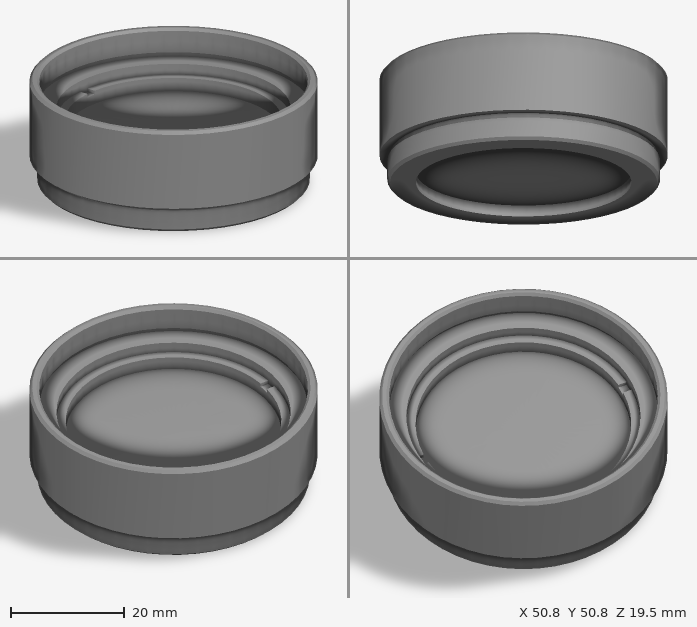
import cadquery as cq

HOUSING_RADIUS = 25.4
HEIGHT = 19.5
EDGE_CHAMFER = 0.5
SPIGOT_RADIUS = 24.05
NECK_RADIUS = 23.6
FLANGE_BASE_Z = 5.0
NECK_HEIGHT = 0.95

MOUTH_RADIUS = 23.65
MOUTH_CHAMFER = 0.45
MOUTH_DEPTH = 5.5
RELIEF_RADIUS = 24.15
RELIEF_HEIGHT = 0.95
BORE_RADIUS = 20.6
APERTURE_RADIUS = 19.0
SEAT_THICKNESS = 2.05

RING_TOP_DEPTH = 7.5
RING_HEIGHT = 2.5
SLOT_WIDTH = 2.0
SLOT_DEPTH = 0.7

LENS_CROWN = 0.55

shoulder_z = HEIGHT - MOUTH_DEPTH
ring_top_z = HEIGHT - RING_TOP_DEPTH
lens_edge_z = ring_top_z - RING_HEIGHT


def make_housing():
    """Turned barrel with a grooved spigot below, a wide mouth above and a lens seat."""
    profile = [
        (APERTURE_RADIUS, 0),
        (SPIGOT_RADIUS - EDGE_CHAMFER, 0),
        (SPIGOT_RADIUS, EDGE_CHAMFER),
        (SPIGOT_RADIUS, FLANGE_BASE_Z - NECK_HEIGHT),
        (NECK_RADIUS, FLANGE_BASE_Z - NECK_HEIGHT),
        (NECK_RADIUS, FLANGE_BASE_Z),
        (HOUSING_RADIUS, FLANGE_BASE_Z),
        (HOUSING_RADIUS, HEIGHT - EDGE_CHAMFER),
        (HOUSING_RADIUS - EDGE_CHAMFER, HEIGHT),
        (MOUTH_RADIUS + MOUTH_CHAMFER, HEIGHT),
        (MOUTH_RADIUS, HEIGHT - MOUTH_CHAMFER),
        (MOUTH_RADIUS, shoulder_z + RELIEF_HEIGHT),
        (RELIEF_RADIUS, shoulder_z + RELIEF_HEIGHT),
        (RELIEF_RADIUS, shoulder_z),
        (BORE_RADIUS, shoulder_z),
        (BORE_RADIUS, SEAT_THICKNESS),
        (APERTURE_RADIUS, SEAT_THICKNESS),
    ]
    return cq.Workplane("XZ").polyline(profile).close().revolve(360, (0, 0, 0), (0, 1, 0))


def make_retaining_ring():
    """Ring above the lens rim, with two opposite spanner slots along X."""
    ring = (
        cq.Workplane("XY", origin=(0, 0, lens_edge_z))
        .circle(BORE_RADIUS)
        .circle(APERTURE_RADIUS)
        .extrude(RING_HEIGHT)
    )
    slots = cq.Workplane("XY", origin=(0, 0, ring_top_z - SLOT_DEPTH)).box(
        2 * BORE_RADIUS, SLOT_WIDTH, SLOT_DEPTH, centered=(True, True, False)
    )
    return ring.cut(slots)


def make_lens():
    """Lens with a flat base, a flat rim under the ring and a shallow domed top."""
    crown_radius = (APERTURE_RADIUS**2 + LENS_CROWN**2) / (2 * LENS_CROWN)
    dome_mid_x = APERTURE_RADIUS / 2
    dome_centre_z = lens_edge_z + LENS_CROWN - crown_radius
    dome_mid_z = dome_centre_z + (crown_radius**2 - dome_mid_x**2) ** 0.5
    return (
        cq.Workplane("XZ")
        .moveTo(0, SEAT_THICKNESS)
        .lineTo(BORE_RADIUS, SEAT_THICKNESS)
        .lineTo(BORE_RADIUS, lens_edge_z)
        .lineTo(APERTURE_RADIUS, lens_edge_z)
        .threePointArc((dome_mid_x, dome_mid_z), (0, lens_edge_z + LENS_CROWN))
        .close()
        .revolve(360, (0, 0, 0), (0, 1, 0))
    )


housing = make_housing()
retaining_ring = make_retaining_ring()
lens = make_lens()

result = cq.Compound.makeCompound([housing.val(), retaining_ring.val(), lens.val()])